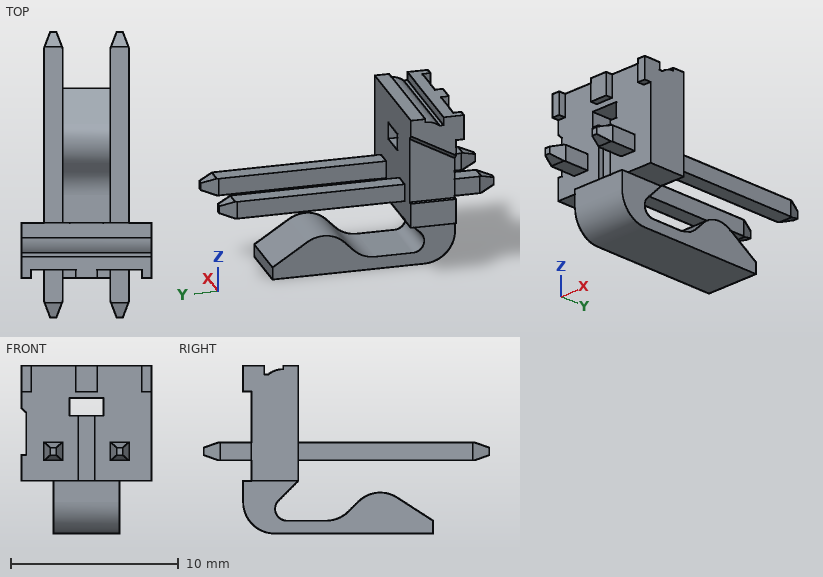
import cadquery as cq
import math


OVERCUT = 1.0

HOUSING_WIDTH = 7.77
HOUSING_DEPTH = 2.8
HOUSING_HEIGHT = 6.86
LEFT_FACE = -HOUSING_WIDTH / 2

TAB_PROJECTION = 0.5
TAB_HEIGHT = 1.55
CORNER_TAB_WIDTH = 0.58
CENTER_TAB_WIDTH = 1.28

WINDOW_WIDTH = 2.0
WINDOW_HEIGHT = 1.04
WINDOW_BOTTOM = 3.89
GROOVE_WIDTH = 0.98
GROOVE_DEPTH = 0.4

TOP_GROOVE_FRONT = 0.77
TOP_GROOVE_BACK = 1.9
TOP_GROOVE_MIN_DEPTH = 0.2
TOP_GROOVE_MAX_DEPTH = 0.51
TOP_GROOVE_FLAT = 0.24
TOP_GROOVE_RADIUS = 1.35

RECESS_DEPTH = 0.28
RECESS_BOTTOM = 1.54
RECESS_TOP_FRONT = 4.06
RECESS_TOP_BACK = 5.58

PIN_PITCH = 3.96
PIN_WIDTH = 1.13
PIN_THICKNESS = 1.08
PIN_HEIGHT = 1.755
PIN_FRONT = -2.84
PIN_LENGTH = 17.02
PIN_TIP_WIDTH = 0.38
PIN_TIP_THICKNESS = 0.46
PIN_SIDE_TAPER_LENGTH = 0.98
PIN_TOP_TAPER_LENGTH = 0.88

LATCH_WIDTH = PIN_PITCH
LATCH_DROP = 3.15
LATCH_THICKNESS = 0.78
LATCH_TIP = 10.83
LATCH_RAMP_START = 5.24
LATCH_LEAD_ANGLE = math.radians(32.8)
LATCH_BEND_RADIUS = 1.9
LATCH_CREST_RADIUS = 1.84
LATCH_NECK_RADIUS = 0.7


def box(x_range, y_range, z_range):
    """Box between the given limits on each axis."""
    size = [high - low for low, high in (x_range, y_range, z_range)]
    corner = (x_range[0], y_range[0], z_range[0])
    return cq.Workplane("XY").box(*size, centered=False).translate(corner)


def centered_range(middle, width):
    return (middle - width / 2, middle + width / 2)


def make_tabs():
    corner_offset = (HOUSING_WIDTH - CORNER_TAB_WIDTH) / 2
    tabs = cq.Workplane("XY")
    for middle, width in (
        (-corner_offset, CORNER_TAB_WIDTH),
        (0, CENTER_TAB_WIDTH),
        (corner_offset, CORNER_TAB_WIDTH),
    ):
        tab = box(
            centered_range(middle, width),
            (-TAB_PROJECTION, HOUSING_DEPTH / 2),
            (HOUSING_HEIGHT - TAB_HEIGHT, HOUSING_HEIGHT),
        )
        tabs = tabs.add(tab)
    return tabs.combine()


def make_window():
    window_top = WINDOW_BOTTOM + WINDOW_HEIGHT
    window = box(
        centered_range(0, WINDOW_WIDTH),
        (-OVERCUT, HOUSING_DEPTH + OVERCUT),
        (WINDOW_BOTTOM, window_top),
    )
    groove = box(
        centered_range(0, GROOVE_WIDTH),
        (-OVERCUT, GROOVE_DEPTH),
        (-OVERCUT, window_top),
    )
    return window.union(groove)


def make_top_groove():
    """Channel across the full width; its floor is a convex arc falling to a flat."""
    shallow_floor = HOUSING_HEIGHT - TOP_GROOVE_MIN_DEPTH
    deep_floor = HOUSING_HEIGHT - TOP_GROOVE_MAX_DEPTH
    cutter_top = HOUSING_HEIGHT + OVERCUT
    return (
        cq.Workplane("YZ", origin=(LEFT_FACE - OVERCUT, 0, 0))
        .moveTo(TOP_GROOVE_FRONT, cutter_top)
        .lineTo(TOP_GROOVE_FRONT, deep_floor)
        .lineTo(TOP_GROOVE_FRONT + TOP_GROOVE_FLAT, deep_floor)
        .radiusArc((TOP_GROOVE_BACK, shallow_floor), TOP_GROOVE_RADIUS)
        .lineTo(TOP_GROOVE_BACK, cutter_top)
        .close()
        .extrude(HOUSING_WIDTH + 2 * OVERCUT)
    )


def recess_section(y, inner_top):
    """Recess outline at depth y: flat floor, with a 45 degree bevel rising to the outer face."""
    floor_x = LEFT_FACE + RECESS_DEPTH
    return [
        cq.Vector(LEFT_FACE, y, RECESS_BOTTOM),
        cq.Vector(floor_x, y, RECESS_BOTTOM),
        cq.Vector(floor_x, y, inner_top),
        cq.Vector(LEFT_FACE, y, inner_top + RECESS_DEPTH),
    ]


def make_side_recess():
    front = cq.Wire.makePolygon(recess_section(0, RECESS_TOP_FRONT), close=True)
    back = cq.Wire.makePolygon(recess_section(HOUSING_DEPTH, RECESS_TOP_BACK), close=True)
    return cq.Workplane("XY").add(cq.Solid.makeLoft([front, back], True))


def make_housing():
    block = box(
        centered_range(0, HOUSING_WIDTH),
        (0, HOUSING_DEPTH),
        (0, HOUSING_HEIGHT),
    )
    return (
        block.union(make_tabs())
        .cut(make_window())
        .cut(make_top_groove())
        .cut(make_side_recess())
    )


def pin_profile(plane, size, tip_size, taper_length, thickness):
    """Bar along Y, tapered at both ends in one direction only, with a constant thickness."""
    half = size / 2
    half_tip = tip_size / 2
    back = PIN_FRONT + PIN_LENGTH
    outline = [
        (half_tip, PIN_FRONT),
        (half, PIN_FRONT + taper_length),
        (half, back - taper_length),
        (half_tip, back),
    ]
    mirrored = [(-across, along) for across, along in reversed(outline)]
    return cq.Workplane(plane).polyline(outline + mirrored).close().extrude(thickness / 2, both=True)


def make_pin(x):
    """Rectangular pin along Y; its side tapers are slightly longer than those above and below."""
    side_tapered = pin_profile(
        cq.Plane.XY(), PIN_WIDTH, PIN_TIP_WIDTH, PIN_SIDE_TAPER_LENGTH, PIN_THICKNESS
    )
    top_tapered = pin_profile(
        cq.Plane.ZY(), PIN_THICKNESS, PIN_TIP_THICKNESS, PIN_TOP_TAPER_LENGTH, PIN_WIDTH
    )
    return side_tapered.intersect(top_tapered).translate((x, 0, PIN_HEIGHT))


def make_latch():
    """Hooked arm below the housing; its slopes are at 45 degrees except the lead-in."""
    bottom = -LATCH_DROP
    floor = bottom + LATCH_THICKNESS
    neck_corner = (HOUSING_DEPTH + floor, floor)
    ramp_corner = (LATCH_RAMP_START, floor)
    lead_slope = math.tan(LATCH_LEAD_ANGLE)
    crest_rise = (LATCH_TIP - LATCH_RAMP_START) * lead_slope / (1 + lead_slope)
    crest_corner = (LATCH_RAMP_START + crest_rise, floor + crest_rise)
    outer_corner = (-TAB_PROJECTION, bottom)

    arm = (
        cq.Workplane("YZ", origin=(-LATCH_WIDTH / 2, 0, 0))
        .polyline([
            (-TAB_PROJECTION, 0),
            (HOUSING_DEPTH, 0),
            neck_corner,
            ramp_corner,
            crest_corner,
            (LATCH_TIP, floor),
            (LATCH_TIP, bottom),
            outer_corner,
        ])
        .close()
        .extrude(LATCH_WIDTH)
    )
    for (y, z), radius in (
        (neck_corner, LATCH_NECK_RADIUS),
        (ramp_corner, LATCH_BEND_RADIUS),
        (crest_corner, LATCH_CREST_RADIUS),
        (outer_corner, LATCH_BEND_RADIUS),
    ):
        arm = arm.edges(cq.NearestToPointSelector((0, y, z))).fillet(radius)
    return arm


result = make_housing().union(make_latch())
for side in (-1, 1):
    result = result.union(make_pin(side * PIN_PITCH / 2))